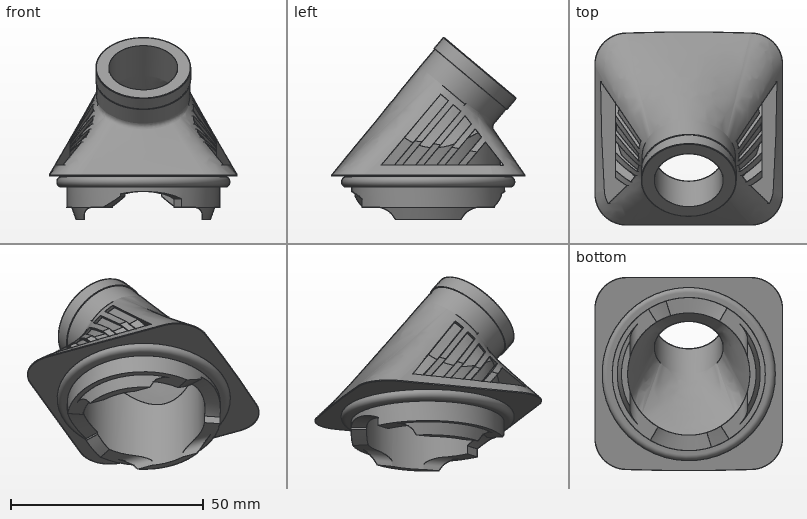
import math
import cadquery as cq


FLANGE_WIDTH = 48.7
FLANGE_LENGTH = 50.1
FLANGE_THICKNESS = 0.3
CORNER_RADIUS = 8.25
BACK_BULGE = 0.3

TILT = math.radians(40.0)
TUBE_END_Y = -13.4
TUBE_END_Z = 28.1
TUBE_LENGTH = 9.75
TUBE_RADIUS = 12.05
COLLAR_RADIUS = 12.3
COLLAR_LENGTH = 3.8
COLLAR_CHAMFER = 0.15
BORE_RADIUS = 8.9
BORE_LENGTH = 10.3
NECK_FILLET = 1.25
NECK_FILLET_ANGLE = 75.0
NECK_MARGIN = 0.5

FRONT_FACE_ANGLE = 35.0
SIDE_FACE_FRONT_ANGLE = 51.0
SIDE_FACE_BACK_ANGLE = 98.0
BACK_FACE_ANGLE = 125.0

WINDOW_SILL_Z = 2.85
WINDOW_BACK_Y = 12.15
WINDOW_FRONT_Y = -19.5
WINDOW_BACK_EDGE = 24.0
WINDOW_TOP_EDGE = 7.3
WINDOW_DEPTH = 1.0
SLAT_COUNT = 4
SLAT_WIDTH = 1.6
SLAT_GAP = 2.6
SLAT_END_X = 19.05
INNER_DRUM_RADIUS = 18.75

SOCKET_RADIUS = 19.85
SOCKET_DEPTH = 8.05
SOCKET_BORE_RADIUS = 15.85
RING_RADIUS = 22.45
RING_HEIGHT = 2.75
RING_GAP = 0.1
RING_EDGE_RADIUS = 1.35

TAB_BOTTOM_Z = -11.2
TAB_TOP_RADIUS = 18.55
TAB_BOTTOM_RADIUS = 17.45
TAB_INNER_X = 15.25
TAB_ROOT_RADIUS = 2.0

NOTCH_TOP_Z = -3.95
NOTCH_WALL_TOP_Z = -5.9
NOTCH_LIP_TOP_Z = -4.55
NOTCH_RAMP_TOP_Z = -5.15
NOTCH_RAMP_MIDDLE_Z = -6.4
NOTCH_WALL_SLOPE = 0.58
NOTCH_RAMP_TOP_SLOPE = 0.31
NOTCH_RAMP_MIDDLE_SLOPE = 0.42
NOTCH_RAMP_BOTTOM_SLOPE = 0.62
NOTCH_NEAR = 10.0
NOTCH_FAR = 22.55

AXIS = cq.Vector(0, -math.sin(TILT), math.cos(TILT))
ACROSS = cq.Vector(0, -math.cos(TILT), -math.sin(TILT))
TUBE_END = cq.Vector(0, TUBE_END_Y, TUBE_END_Z)
TUBE_BASE = TUBE_END - AXIS * TUBE_LENGTH


def tilted_cylinder(radius, length):
    """Cylinder on the tube axis, running back from the open end."""
    return cq.Workplane(cq.Plane(TUBE_END, (1, 0, 0), -AXIS)).circle(radius).extrude(length)


def upright_cylinder(radius, bottom, top):
    return cq.Workplane("XY").workplane(offset=bottom).circle(radius).extrude(top - bottom)


def foot_wire(inset, z):
    """Rounded rectangle with a slightly bowed back edge, starting at the front."""
    half_x = FLANGE_WIDTH / 2 - inset
    front_y = FLANGE_LENGTH / 2 - inset
    back_y = front_y - BACK_BULGE
    x_flat = FLANGE_WIDTH / 2 - CORNER_RADIUS
    front_flat = FLANGE_LENGTH / 2 - CORNER_RADIUS
    back_flat = front_flat - BACK_BULGE
    corner_bow = (CORNER_RADIUS - inset) * math.sqrt(0.5)
    return (
        cq.Workplane("XY").workplane(offset=z)
        .moveTo(-x_flat, -front_y)
        .lineTo(x_flat, -front_y)
        .threePointArc((x_flat + corner_bow, -front_flat - corner_bow), (half_x, -front_flat))
        .lineTo(half_x, back_flat)
        .threePointArc((x_flat + corner_bow, back_flat + corner_bow), (x_flat, back_y))
        .threePointArc((0, back_y + BACK_BULGE), (-x_flat, back_y))
        .threePointArc((-x_flat - corner_bow, back_flat + corner_bow), (-half_x, back_flat))
        .lineTo(-half_x, -front_flat)
        .threePointArc((-x_flat - corner_bow, -front_flat - corner_bow), (-x_flat, -front_y))
        .close().wire().val()
    )


def tube_point(radius, degrees):
    """Point on the tube's base circle, at an angle from its lowest, frontmost point."""
    angle = math.radians(degrees)
    return TUBE_BASE + cq.Vector(radius * math.sin(angle), 0, 0) + ACROSS * (radius * math.cos(angle))


def tube_wire(radius):
    """Base circle of the tube, split where the hood's faces and corners meet it."""
    right = [FRONT_FACE_ANGLE, SIDE_FACE_FRONT_ANGLE, SIDE_FACE_BACK_ANGLE, BACK_FACE_ANGLE]
    stops = [-FRONT_FACE_ANGLE] + right + [360 - angle for angle in reversed(right)]
    edges = [
        cq.Edge.makeThreePointArc(
            tube_point(radius, start), tube_point(radius, (start + end) / 2), tube_point(radius, end)
        )
        for start, end in zip(stops, stops[1:])
    ]
    return cq.Wire.assembleEdges(edges)


def hood_body(inset, tube_radius):
    """Straight-sided transition from the foot to the tube's base circle."""
    loft = cq.Solid.makeLoft([foot_wire(inset, FLANGE_THICKNESS), tube_wire(tube_radius)], True)
    return cq.Workplane(loft)


def window_prism(side):
    """Window outline in Y-Z, extruded outwards through one side of the hood."""
    sill_back = cq.Vector(0, WINDOW_BACK_Y, WINDOW_SILL_Z)
    top_back = sill_back + AXIS * WINDOW_BACK_EDGE
    top_front = top_back + ACROSS * WINDOW_TOP_EDGE
    outline = [(p.y, p.z) for p in (sill_back, top_back, top_front)]
    outline.append((WINDOW_FRONT_Y, WINDOW_SILL_Z))
    return cq.Workplane("YZ").polyline(outline).close().extrude(side * FLANGE_WIDTH)


def slats():
    """Bars parallel to the tube axis, shared by both windows."""
    bars = cq.Workplane()
    sill_back = cq.Vector(0, WINDOW_BACK_Y, WINDOW_SILL_Z)
    for index in range(SLAT_COUNT):
        offset = SLAT_GAP + index * (SLAT_GAP + SLAT_WIDTH) + SLAT_WIDTH / 2
        plane = cq.Plane(sill_back + ACROSS * offset, (1, 0, 0), AXIS)
        bar = cq.Workplane(plane).rect(2 * SLAT_END_X, SLAT_WIDTH).extrude(FLANGE_LENGTH, both=True)
        bars = bars.add(bar)
    return bars.combine()


def make_tube():
    collar = tilted_cylinder(COLLAR_RADIUS, COLLAR_LENGTH).faces(cq.selectors.DirectionMinMaxSelector(AXIS))
    collar = collar.chamfer(COLLAR_CHAMFER)
    return tilted_cylinder(TUBE_RADIUS, TUBE_LENGTH).union(collar)


def neck_front(body):
    """Front part of the hood and tube, with a fillet in the hollow angle between the two."""
    rear = tube_point(TUBE_RADIUS, NECK_FILLET_ANGLE)
    start = cq.Vector(0, rear.y, rear.z)
    half_space = cq.Workplane(cq.Plane(start, (1, 0, 0), ACROSS))
    half_space = half_space.rect(4 * FLANGE_WIDTH, 4 * FLANGE_LENGTH).extrude(2 * FLANGE_LENGTH)
    back = start - ACROSS * NECK_MARGIN
    front = tube_point(TUBE_RADIUS, 0) + ACROSS * NECK_MARGIN
    joint = cq.selectors.BoxSelector((-TUBE_RADIUS, front.y, front.z), (TUBE_RADIUS, back.y, back.z))
    return body.intersect(half_space).edges(joint).fillet(NECK_FILLET)


def make_hood():
    """Hood and tube, with louvred windows in both sides of the hood."""
    hood = hood_body(0, TUBE_RADIUS).union(make_tube())
    hood = hood.union(neck_front(hood))
    drum = upright_cylinder(INNER_DRUM_RADIUS, 0, FLANGE_LENGTH)
    core = hood_body(WINDOW_DEPTH, TUBE_RADIUS - WINDOW_DEPTH).intersect(drum)
    bars = slats()
    for side in (-1, 1):
        hood = hood.cut(window_prism(side).cut(core).cut(bars))
    flange = cq.Solid.extrudeLinear(foot_wire(0, 0), [], cq.Vector(0, 0, FLANGE_THICKNESS))
    return hood.union(cq.Workplane(flange))


def make_ring():
    ring = upright_cylinder(RING_RADIUS, -RING_GAP - RING_HEIGHT, -RING_GAP)
    return ring.edges().fillet(RING_EDGE_RADIUS)


def make_tabs():
    """Two tapered segments left by a round-cornered channel along Y."""
    height = -SOCKET_DEPTH - TAB_BOTTOM_Z
    cone = cq.Solid.makeCone(TAB_BOTTOM_RADIUS, TAB_TOP_RADIUS, height, cq.Vector(0, 0, TAB_BOTTOM_Z))
    channel = (
        cq.Workplane("XY").workplane(offset=TAB_BOTTOM_Z)
        .rect(2 * TAB_INNER_X, FLANGE_LENGTH).extrude(height)
        .edges("|Y and >Z").fillet(TAB_ROOT_RADIUS)
    )
    return cq.Workplane(cone).cut(channel)


def notch_wire(distance):
    wall_x = NOTCH_WALL_SLOPE * distance
    return (
        cq.Workplane("XZ").workplane(offset=distance)
        .moveTo(wall_x, -SOCKET_DEPTH)
        .lineTo(wall_x, NOTCH_WALL_TOP_Z)
        .threePointArc((0, NOTCH_TOP_Z), (-NOTCH_RAMP_TOP_SLOPE * distance, NOTCH_LIP_TOP_Z))
        .lineTo(-NOTCH_RAMP_TOP_SLOPE * distance, NOTCH_RAMP_TOP_Z)
        .threePointArc(
            (-NOTCH_RAMP_MIDDLE_SLOPE * distance, NOTCH_RAMP_MIDDLE_Z),
            (-NOTCH_RAMP_BOTTOM_SLOPE * distance, -SOCKET_DEPTH),
        )
        .close().wire().val()
    )


def make_socket():
    socket = upright_cylinder(SOCKET_RADIUS, -SOCKET_DEPTH, 0)
    notch = cq.Workplane(cq.Solid.makeLoft([notch_wire(NOTCH_NEAR), notch_wire(NOTCH_FAR)], True))
    for turn in (0, 180):
        socket = socket.cut(notch.rotate((0, 0, 0), (0, 0, 1), turn))
    return socket.union(make_tabs()).union(make_ring())


def make_cavity():
    """Tube bore, opening into a round chamber that keeps the hood's wall even."""
    wall = TUBE_RADIUS - BORE_RADIUS
    funnel = hood_body(wall, BORE_RADIUS).translate(AXIS * (TUBE_LENGTH - BORE_LENGTH))
    chamber = upright_cylinder(SOCKET_BORE_RADIUS, FLANGE_THICKNESS, FLANGE_LENGTH)
    chamber = chamber.intersect(funnel)
    socket_bore = upright_cylinder(SOCKET_BORE_RADIUS, TAB_BOTTOM_Z, FLANGE_THICKNESS)
    return chamber.union(socket_bore).union(tilted_cylinder(BORE_RADIUS, BORE_LENGTH))


result = make_hood().union(make_socket()).cut(make_cavity())